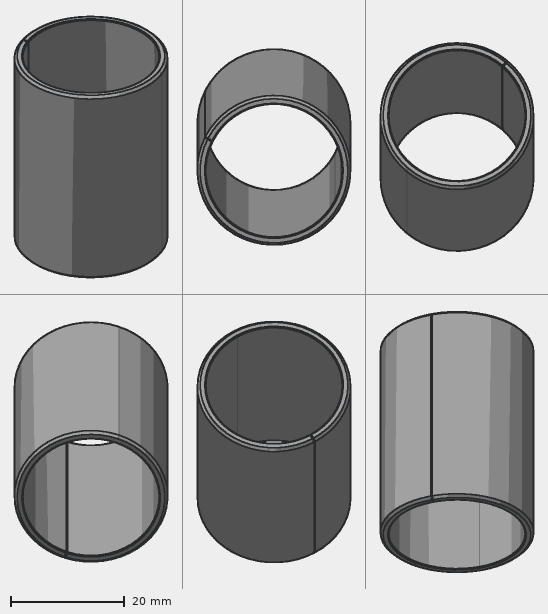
import cadquery as cq

length = 38.0
outer_diameter = 27.0
inner_diameter = 24.0

outer_chamfer = 0.5
inner_chamfer = 0.2

joint_gap = 0.23


def half_section():
    """Wall section on the XZ plane, chamfered at all four corners."""
    outer_radius = outer_diameter / 2
    inner_radius = inner_diameter / 2
    points = [
        (inner_radius + inner_chamfer, 0),
        (outer_radius - outer_chamfer, 0),
        (outer_radius, outer_chamfer),
        (outer_radius, length - outer_chamfer),
        (outer_radius - outer_chamfer, length),
        (inner_radius + inner_chamfer, length),
        (inner_radius, length - inner_chamfer),
        (inner_radius, inner_chamfer),
    ]
    return cq.Workplane("XZ").polyline(points).close()


def joint_cutter():
    """Thin slab from the axis out past the -X side of the wall."""
    return cq.Workplane("XY").box(
        outer_diameter, joint_gap, length, centered=False
    ).translate((-outer_diameter, 0, 0))


sleeve = half_section().revolve(360, (0, 0, 0), (0, 1, 0))
result = sleeve.cut(joint_cutter())